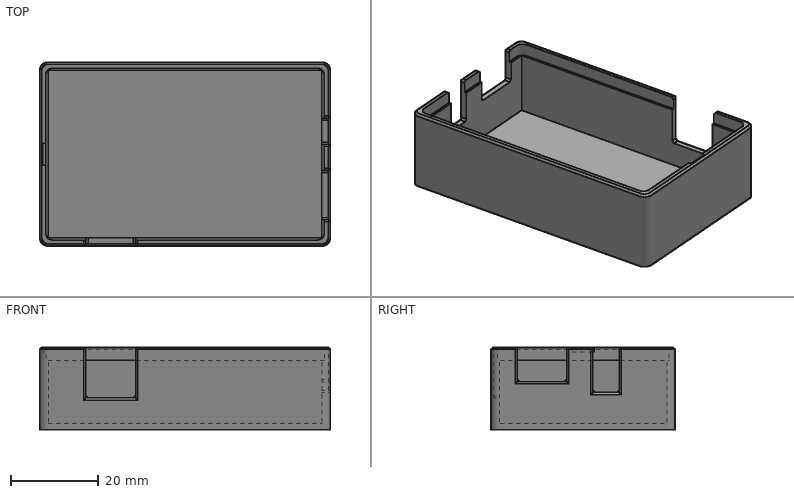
import cadquery as cq

length, width, height = 66.5, 42.1, 18.9
corner_radius = 2.0
edge_chamfer = 0.5

wall = 1.9
floor_thickness = 1.5
lip_wall = 1.4
lip_depth = 2.9
lip_corner_radius = 1.6

front_window = (-22.7, -11.3, 7.3)
end_windows = [
    (2.25, 8.25, 8.6),
    (-15.0, -3.7, 11.05),
]
cut_clearance = 0.65

notch_length = 5.05
notch_wall = 0.7
notch_depth = 1.0


def open_box():
    body = (
        cq.Workplane("XY")
        .box(length, width, height, centered=(True, True, False))
        .edges("|Z")
        .fillet(corner_radius)
        .faces(">Z")
        .edges()
        .chamfer(edge_chamfer)
    )
    cavity = (
        cq.Workplane("XY", origin=(0, 0, floor_thickness))
        .rect(length - 2 * wall, width - 2 * wall)
        .extrude(height)
    )
    lip = (
        cq.Workplane("XY", origin=(0, 0, height - lip_depth))
        .rect(length - 2 * lip_wall, width - 2 * lip_wall)
        .extrude(height)
        .edges("|Z")
        .fillet(lip_corner_radius)
    )
    return body.cut(cavity).cut(lip)


def window(outer_face, start, end, bottom):
    """Opening through the wall behind outer_face, a workplane whose normal points out of the box."""
    bevel = edge_chamfer
    mouth = height - bevel
    opening = outer_face.polyline([
        (start + bevel, bottom),
        (end - bevel, bottom),
        (end, bottom + bevel),
        (end, mouth),
        (end + bevel, height),
        (start - bevel, height),
        (start, mouth),
        (start, bottom + bevel),
    ]).close().extrude(-wall - cut_clearance)

    flare = (
        outer_face.center((start + end) / 2, (bottom + height) / 2)
        .rect(end - start + 2 * bevel, height - bottom + 2 * bevel)
        .workplane(offset=-bevel)
        .rect(end - start, height - bottom)
        .loft(ruled=True)
    )
    return opening.union(flare)


def pry_notch():
    return cq.Workplane("XY").box(
        lip_wall - notch_wall, notch_length, notch_depth, centered=(False, True, False)
    ).translate((notch_wall - length / 2, 0, height - notch_depth))


front_face = cq.Workplane("XZ", origin=(0, -width / 2, 0))
end_face = cq.Workplane("YZ", origin=(length / 2, 0, 0))

result = open_box().cut(pry_notch())
result = result.cut(window(front_face, *front_window))
for end_window in end_windows:
    result = result.cut(window(end_face, *end_window))